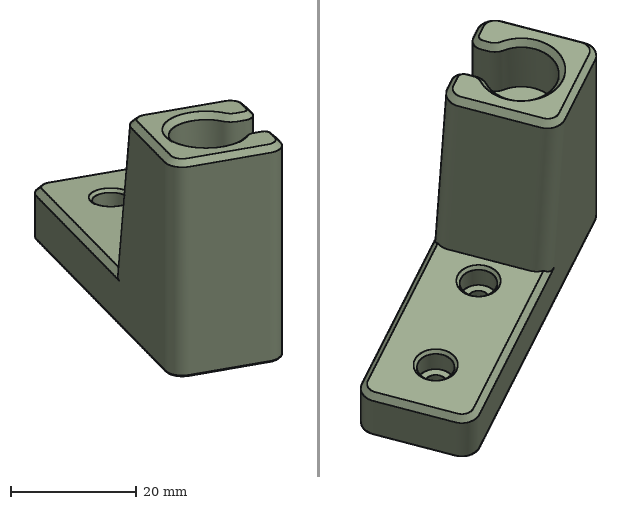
import cadquery as cq
import math

length = 60.0
width = 20.0
height = 38.0
corner_radius = 3.0
top_chamfer = 1.0
bottom_chamfer = 0.35
hole_chamfer = 0.55

base_height = 9.0
screw_hole_xs = (10.0, 30.0)
screw_diameter = 3.4
counterbore_diameter = 6.0
counterbore_depth = 4.0

post_slope = 10.0
post_top_left = length - width
post_foot_left = post_top_left - height * math.tan(math.radians(post_slope))

socket_x = length - width / 2
socket_depth = 10.0
socket_floor = height - socket_depth
bore_radius = 6.0
slot_half_width = 3.0
throat_radius = 3.0
mouth_radius = 2.0
pilot_diameter = 2.9
pilot_depth = 6.0


def make_base():
    return (
        cq.Workplane("XY")
        .box(length, width, base_height, centered=(False, True, False))
        .edges("|Z").fillet(corner_radius)
        .faces(">Z").edges().chamfer(top_chamfer)
    )


def make_post():
    outline = [
        (post_foot_left, 0),
        (length, 0),
        (length, height),
        (post_top_left, height),
    ]
    post = cq.Workplane("XZ").polyline(outline).close().extrude(width / 2, both=True)
    return post.edges("(not #Z) and (not |Y)").fillet(corner_radius)


def make_socket_cutter():
    """Keyhole prism: the throat arcs touch both the bore and the slot sides."""
    back = width / 2
    throat_x = slot_half_width + throat_radius
    throat_y = math.sqrt((bore_radius + throat_radius) ** 2 - throat_x ** 2)
    bore_share = bore_radius / (bore_radius + throat_radius)
    touch_x = throat_x * bore_share
    touch_y = throat_y * bore_share

    half_angle = math.atan2(throat_y, throat_x) / 2
    middle_x = throat_x - throat_radius * math.cos(half_angle)
    middle_y = throat_y - throat_radius * math.sin(half_angle)

    mouth_x = slot_half_width + mouth_radius
    mouth_y = back - mouth_radius
    diagonal = mouth_radius * math.sqrt(0.5)
    mouth_middle = (mouth_x - diagonal, mouth_y + diagonal)

    return (
        cq.Workplane("XY", origin=(socket_x, 0, socket_floor))
        .moveTo(mouth_x, back)
        .threePointArc(mouth_middle, (slot_half_width, mouth_y))
        .lineTo(slot_half_width, throat_y)
        .threePointArc((middle_x, middle_y), (touch_x, touch_y))
        .threePointArc((0, -bore_radius), (-touch_x, touch_y))
        .threePointArc((-middle_x, middle_y), (-slot_half_width, throat_y))
        .lineTo(-slot_half_width, mouth_y)
        .threePointArc((-mouth_middle[0], mouth_middle[1]), (-mouth_x, back))
        .close()
        .extrude(socket_depth)
    )


def make_hole(x, top, diameter, depth):
    """Round hole cutter going down from the given height, with a chamfered rim."""
    radius = diameter / 2
    profile = [
        (0, 0),
        (radius + hole_chamfer, 0),
        (radius, -hole_chamfer),
        (radius, -depth),
        (0, -depth),
    ]
    return (
        cq.Workplane("XZ", origin=(x, 0, top))
        .polyline(profile).close()
        .revolve(360, (0, 0), (0, 1))
    )


post = make_post().cut(make_socket_cutter())
post = post.faces(">Z").edges().chamfer(top_chamfer)

result = make_base().union(post)
result = result.faces("<Z").edges().chamfer(bottom_chamfer)

for hole_x in screw_hole_xs:
    result = result.cut(make_hole(hole_x, base_height, counterbore_diameter, counterbore_depth))
    through_hole = cq.Workplane("XY").center(hole_x, 0).circle(screw_diameter / 2).extrude(base_height)
    result = result.cut(through_hole)

result = result.cut(make_hole(socket_x, socket_floor, pilot_diameter, pilot_depth))